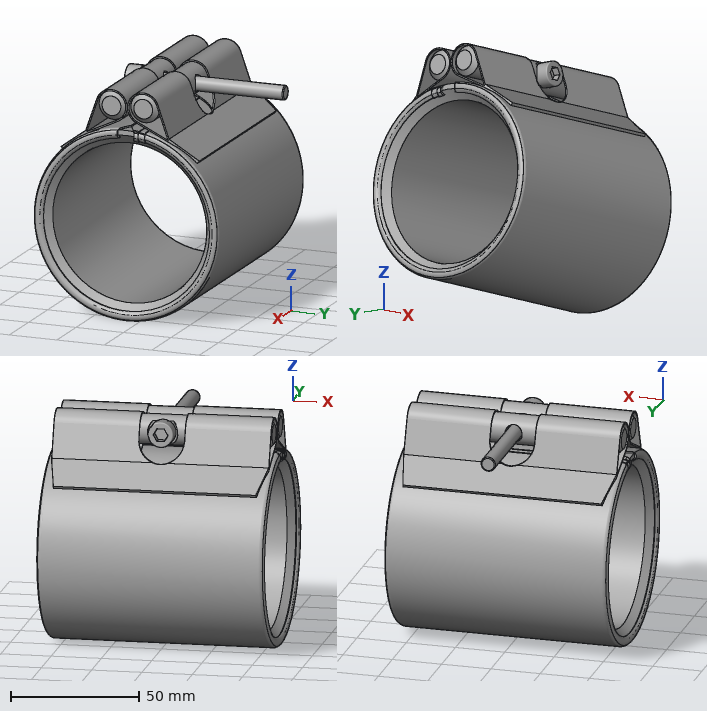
import cadquery as cq
import math


overall_height = 92.85
sheet = 0.6

half_length = 90.5 / 2
gasket_radius = 76.8 / 2
casing_radius = gasket_radius + sheet
roll_radius = 2.0
lip_end_radius = 34.9
bore_radius = 64.8 / 2

seam_taper = 29.0
outer_edge_y = 0.0
outer_edge_end_y = -3.6
tongue_root_y = 5.3
tongue_end_y = 3.6
tongue_tip_y = -2.8
joggle_y = 8.1

bar_radius = 12.0 / 2
bar_half_length = 43.2
bar_end_chamfer = 2.0
screw_hole_diameter = 7.0
spotface_depth_y = 4.1
loop_radius = bar_radius + sheet
bar_y = 6.7
bar_z = overall_height - casing_radius - loop_radius

foot_angle = 36.3
foot_half_width = 40.2
fold_y = 17.55
foot_edge_y = 29.1
window_radius = 9.1
window_bottom_z = 35.75

shank_diameter = 5.85
shank_tip_chamfer = 0.42
shank_tip_y = 49.3
head_diameter = 10.0
head_length = 6.0
head_edge_round = 0.5
socket_flats = 5.0
socket_depth = 3.0


def polar(radius, degrees, center=(0.0, 0.0)):
    """Point in the YZ plane, at an angle measured from +Z towards +Y."""
    angle = math.radians(degrees)
    return (center[0] + radius * math.sin(angle), center[1] + radius * math.cos(angle))


lip_angle = 45.0
diagonal = math.sqrt(0.5)
roll_x = half_length - roll_radius
roll_z = casing_radius - roll_radius
lip_start_x = roll_x + roll_radius * diagonal
lip_start_z = roll_z - roll_radius * diagonal
lip_end_x = lip_start_x - (lip_start_z - lip_end_radius)
gasket_half_length = half_length - sheet
cone_top_z = lip_start_z - lip_start_x + sheet / diagonal + gasket_half_length
lead_in = cone_top_z - bore_radius


def rolled_shell(drop):
    """Closed ring of casing sheet with rolled ends; drop lowers its whole section."""
    roll_middle_x = roll_x + roll_radius * math.cos(math.radians(lip_angle / 2))
    roll_middle_z = roll_z + roll_radius * math.sin(math.radians(lip_angle / 2))
    lip = [
        (lip_end_x, lip_end_radius),
        (lip_end_x - sheet * diagonal, lip_end_radius + sheet * diagonal),
        (gasket_half_length, cone_top_z),
        (gasket_half_length, gasket_radius),
    ]
    opposite_lip = [(-x, z) for x, z in reversed(lip)]
    section = (
        cq.Workplane("XZ", origin=(0, 0, -drop))
        .moveTo(-roll_x, casing_radius)
        .lineTo(roll_x, casing_radius)
        .threePointArc((roll_middle_x, roll_middle_z), (lip_start_x, lip_start_z))
        .polyline(lip + opposite_lip, includeCurrent=True)
        .lineTo(-lip_start_x, lip_start_z)
        .threePointArc((-roll_middle_x, roll_middle_z), (-roll_x, casing_radius))
        .close()
    )
    return section.revolve(360, (0, drop, 0), (1, drop, 0))


def seam_region(points):
    """Vertical prism over the upper half of the casing, from points in XY."""
    return cq.Workplane("XY").polyline(points).close().extrude(casing_radius)


def seam_edge(root_y, inner_y, end_y):
    """Area between a straight root line and a free edge that tapers towards both ends."""
    inner_x = half_length - abs(inner_y - end_y) / math.tan(math.radians(seam_taper))
    return seam_region([
        (-half_length, root_y), (half_length, root_y),
        (half_length, end_y), (inner_x, inner_y),
        (-inner_x, inner_y), (-half_length, end_y),
    ])


opening = seam_edge(joggle_y, outer_edge_y, outer_edge_end_y)
joggle_area = seam_region([
    (-half_length, joggle_y), (half_length, joggle_y),
    (half_length, tongue_root_y), (-half_length, tongue_root_y),
])
tongue_area = seam_edge(tongue_root_y, tongue_tip_y, tongue_end_y)

joggle = rolled_shell(sheet / 2).intersect(joggle_area)
tongue = rolled_shell(sheet).intersect(tongue_area)
casing = rolled_shell(0).cut(opening).union(joggle).union(tongue)


def make_gasket():
    profile = (
        cq.Workplane("XZ")
        .moveTo(-gasket_half_length, gasket_radius)
        .lineTo(gasket_half_length, gasket_radius)
        .lineTo(gasket_half_length, cone_top_z)
        .lineTo(gasket_half_length - lead_in, bore_radius)
        .lineTo(lead_in - gasket_half_length, bore_radius)
        .lineTo(-gasket_half_length, cone_top_z)
        .close()
    )
    ring = profile.revolve(360, (0, 0, 0), (1, 0, 0))
    return ring.cut(joggle).cut(tongue)


gasket = make_gasket()


def line_crossing(angle_a, distance_a, angle_b, distance_b):
    """Crossing of two YZ lines, each given by its normal's angle and distance from the axis."""
    a = math.radians(angle_a)
    b = math.radians(angle_b)
    spread = math.sin(a - b)
    return ((distance_a * math.cos(b) - distance_b * math.cos(a)) / spread,
            (distance_b * math.sin(a) - distance_a * math.sin(b)) / spread)


def make_bracket():
    """Bracket on the +Y side: a loop around the bar and a foot on the casing."""
    bar_center = (bar_y, bar_z)
    foot_outside = casing_radius + sheet
    foot_sin = math.sin(math.radians(foot_angle))
    foot_cos = math.cos(math.radians(foot_angle))

    fold = (fold_y, (foot_outside - fold_y * foot_sin) / foot_cos)
    edge_run = (foot_edge_y - foot_outside * foot_sin) / foot_cos
    edge_outside = (foot_edge_y, foot_outside * foot_cos - edge_run * foot_sin)
    edge_angle = foot_angle + math.degrees(math.asin(edge_run / casing_radius))

    center_distance = math.hypot(bar_y, bar_z)
    sheet_angle = math.degrees(math.atan2(bar_y, bar_z)
                               + math.acos((casing_radius + loop_radius) / center_distance))

    fold_distance = math.hypot(fold[0] - bar_y, fold[1] - bar_z)
    leg_angle = math.degrees(math.atan2(fold[0] - bar_y, fold[1] - bar_z)
                             - math.acos(loop_radius / fold_distance))
    leg_sin = math.sin(math.radians(leg_angle))
    leg_cos = math.cos(math.radians(leg_angle))
    leg_inside = bar_y * leg_sin + bar_z * leg_cos + bar_radius
    inner_corner = line_crossing(leg_angle, leg_inside, sheet_angle, foot_outside)

    sheet_side = sheet_angle - 180
    loop_middle = (leg_angle + sheet_side) / 2
    start = cq.Workplane("YZ", origin=(-bar_half_length, 0, 0))
    outline = (
        start.moveTo(*fold)
        .lineTo(*polar(loop_radius, leg_angle, bar_center))
        .threePointArc(polar(loop_radius, loop_middle, bar_center),
                       polar(loop_radius, sheet_side, bar_center))
        .lineTo(*polar(casing_radius, sheet_angle))
        .threePointArc(polar(casing_radius, (sheet_angle + edge_angle) / 2),
                       polar(casing_radius, edge_angle))
        .lineTo(*edge_outside)
        .close()
        .extrude(2 * bar_half_length)
    )
    inside = (
        start.moveTo(*inner_corner)
        .lineTo(*polar(bar_radius, leg_angle, bar_center))
        .threePointArc(polar(bar_radius, loop_middle, bar_center),
                       polar(bar_radius, sheet_side, bar_center))
        .close()
        .extrude(2 * bar_half_length)
    )

    plan = (
        cq.Workplane("XY")
        .polyline([
            (-bar_half_length, 0), (bar_half_length, 0),
            (bar_half_length, fold_y), (foot_half_width, foot_edge_y),
            (-foot_half_width, foot_edge_y), (-bar_half_length, fold_y),
        ])
        .close()
        .extrude(bar_z + loop_radius)
    )

    window_z = window_bottom_z + window_radius
    leg_window = (
        cq.Workplane("XZ")
        .moveTo(-window_radius, bar_z + loop_radius)
        .lineTo(-window_radius, window_z)
        .threePointArc((0, window_bottom_z), (window_radius, window_z))
        .lineTo(window_radius, bar_z + loop_radius)
        .close()
        .extrude(-foot_edge_y)
    )
    sheet_window = (
        cq.Workplane("XY")
        .moveTo(-window_radius, 0)
        .lineTo(-window_radius, fold_y - window_radius)
        .threePointArc((0, fold_y), (window_radius, fold_y - window_radius))
        .lineTo(window_radius, 0)
        .close()
        .extrude(bar_z)
    )
    return outline.cut(inside).intersect(plan).cut(leg_window).cut(sheet_window)


rear_bracket = make_bracket()
front_bracket = rear_bracket.mirror("XZ")


def cylinder_along_y(diameter, y_start, y_end):
    return (
        cq.Workplane("XZ", origin=(0, y_start, bar_z))
        .circle(diameter / 2)
        .extrude(y_start - y_end)
    )


def make_bar(y):
    bar = (
        cq.Workplane("YZ", origin=(-bar_half_length, y, bar_z))
        .circle(bar_radius)
        .extrude(2 * bar_half_length)
        .faces("<X or >X")
        .edges()
        .chamfer(bar_end_chamfer)
    )
    return bar.cut(cylinder_along_y(screw_hole_diameter, y - bar_radius, y + bar_radius))


seat_y = -bar_y - spotface_depth_y
rear_bar = make_bar(bar_y)
spotface = cylinder_along_y(2 * bar_radius, seat_y - bar_radius, seat_y)
front_bar = make_bar(-bar_y).cut(spotface)


def make_screw():
    head_y = seat_y - head_length
    shank = cylinder_along_y(shank_diameter, seat_y, shank_tip_y)
    shank = shank.faces(">Y").chamfer(shank_tip_chamfer)
    head = cylinder_along_y(head_diameter, head_y, seat_y)
    head = head.faces("<Y").edges().fillet(head_edge_round)
    across_corners = socket_flats / math.cos(math.pi / 6)
    socket = (
        cq.Workplane("XZ", origin=(0, head_y, bar_z))
        .polygon(6, across_corners)
        .extrude(-socket_depth)
    )
    return head.union(shank).cut(socket)


screw = make_screw()

result = cq.Compound.makeCompound([
    casing.val(), gasket.val(), rear_bracket.val(), front_bracket.val(),
    rear_bar.val(), front_bar.val(), screw.val(),
])